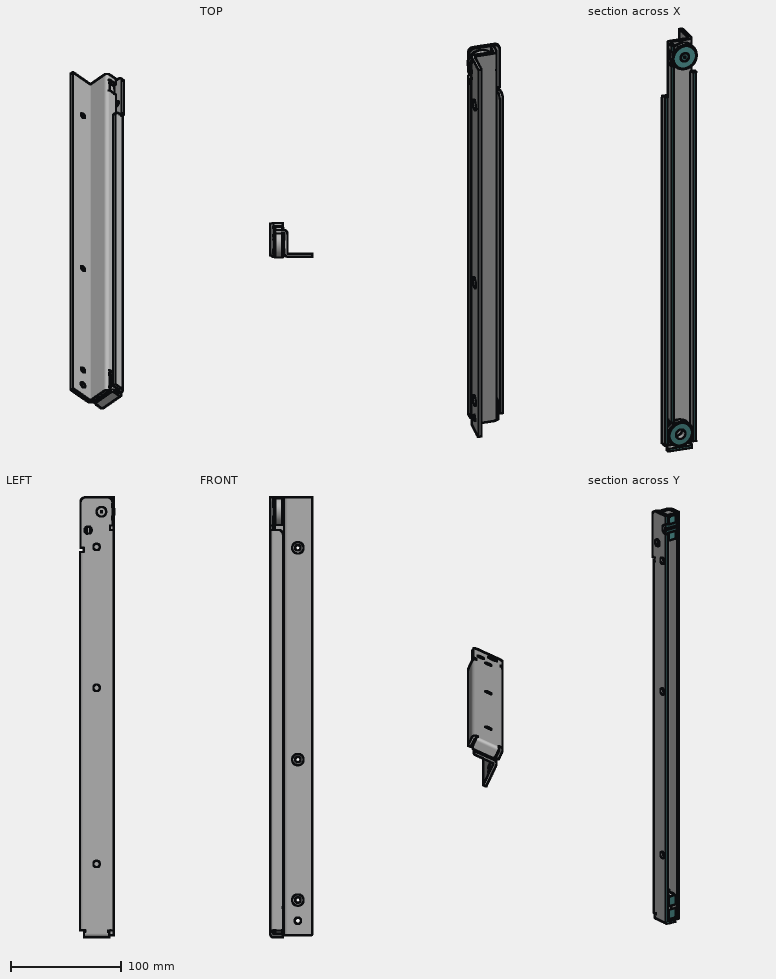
import cadquery as cq
import math

LENGTH = 400.0
FRONT_Y = 1.0
SHEET = 3.0
INNER_BEND = 0.5
OUTER_BEND = INNER_BEND + SHEET
OVERCUT = 4.0

COVER_WIDTH = 11.5
COVER_BACK_Y = 31.5
FRONT_FLANGE_TOP = 370.5
BACK_FLANGE_TOP = 350.5
FLANGE_BOTTOM = 6.5
FLANGE_CORNER = 4.5
HEAD_FRONT_Y = 2.0
HEAD_BACK_Y = 31.0
HEAD_FRONT_BOTTOM = 374.5
HEAD_BACK_BOTTOM = 354.0
HEAD_CORNER = 5.0
WEB_FRONT_Y = FRONT_Y + OUTER_BEND
WEB_BACK_Y = COVER_BACK_Y - OUTER_BEND
FLAP_FRONT_Y = 5.0
FLAP_BACK_Y = 28.0
FLAP_CORNER = 3.0
RELIEF_HEIGHT = 1.0
RELIEF_DEPTH = 1.0
MOUNT_HOLE_DIAMETER = 6.0
MOUNT_HOLE_Y = 16.5
MOUNT_HOLE_HEIGHTS = (355.0, 227.0, 67.0)
LOCK_HOLE_DIAMETER = 6.5
LOCK_HOLE_Y = 24.0
LOCK_HOLE_Z = 370.0

ANGLE_LEFT_X = 13.0
ANGLE_RIGHT_X = 38.5
ANGLE_BOTTOM = 2.0
ANGLE_CORNER = 1.5
RETURN_LEFT_X = 4.0
RETURN_BACK_Y = 25.0
RETURN_FRONT_Y = RETURN_BACK_Y - SHEET
SCREW_X = 25.0
SCREW_HEIGHTS = (354.0, 161.5, 34.0)
SCREW_DIAMETER = 5.0
SINK_DIAMETER = 10.5
PILOT_DIAMETER = 5.5
PILOT_Z = 15.0

PULLEY_RADIUS = 12.0
PULLEY_LEFT_X = 3.5
PULLEY_WIDTH = 8.5
PULLEY_CHAMFER = 1.0
UPPER_PULLEY = (PULLEY_RADIUS, 387.0)
PULLEY_GAP = 0.5
LOWER_PULLEY = (16.0, SHEET + PULLEY_GAP + PULLEY_RADIUS)
AXLE_DIAMETER = 9.0
AXLE_CENTRE_HOLE = 1.0


def block(x_range, y_range, z_range):
    """Box between the given limits."""
    size = [high - low for low, high in (x_range, y_range, z_range)]
    corner = (x_range[0], y_range[0], z_range[0])
    return cq.Workplane("XY").box(*size, centered=False).translate(corner)


def rod_x(y, z, diameter, x_start, x_end):
    """Cylinder along X."""
    plane = cq.Workplane("YZ", origin=(x_start, y, z))
    return plane.circle(diameter / 2).extrude(x_end - x_start)


def rod_y(x, z, diameter):
    """Cylinder along Y through the front leg of the angle."""
    plane = cq.Workplane("XZ", origin=(x, FRONT_Y - OVERCUT, z))
    return plane.circle(diameter / 2).extrude(-(SHEET + 2 * OVERCUT))


def cover_channel():
    """Web with a front and a back flange; the back flange ends lower."""
    inside_x = (SHEET, COVER_WIDTH + OVERCUT)
    z_range = (FLANGE_BOTTOM, FRONT_FLANGE_TOP)
    outside = block((0, COVER_WIDTH), (FRONT_Y, COVER_BACK_Y), z_range)
    outside = outside.edges("|Z and <X").fillet(OUTER_BEND)
    inside = block(inside_x, (FRONT_Y + SHEET, COVER_BACK_Y - SHEET), z_range)
    inside = inside.edges("|Z and <X").fillet(INNER_BEND)
    above_back_flange = block(
        (-OVERCUT, COVER_WIDTH + OVERCUT),
        (WEB_BACK_Y, COVER_BACK_Y + OVERCUT),
        (BACK_FLANGE_TOP, LENGTH),
    )
    channel = outside.cut(inside).cut(above_back_flange)
    return channel.edges("|Y and >X and (not <Z)").fillet(FLANGE_CORNER)


def cover_head():
    """Wider top of the web, rounded at its upper corners, and the neck below it."""
    head = block((0, SHEET), (HEAD_FRONT_Y, HEAD_BACK_Y), (HEAD_FRONT_BOTTOM, LENGTH))
    head = head.edges("|X and >Z").fillet(HEAD_CORNER)
    back_part = block((0, SHEET), (WEB_FRONT_Y, HEAD_BACK_Y), (HEAD_BACK_BOTTOM, HEAD_FRONT_BOTTOM))
    neck = block((0, SHEET), (WEB_FRONT_Y, WEB_BACK_Y), (BACK_FLANGE_TOP, HEAD_BACK_BOTTOM))
    return head.union(back_part).union(neck)


def cover_flap():
    """Flap folded in at the bottom of the web."""
    y_range = (FLAP_FRONT_Y, FLAP_BACK_Y)
    top = FLANGE_BOTTOM + RELIEF_HEIGHT
    outside = block((0, COVER_WIDTH), y_range, (0, top))
    outside = outside.edges("|Y and <X and <Z").fillet(OUTER_BEND)
    outside = outside.edges("|Z and >X").fillet(FLAP_CORNER)
    inside = block((SHEET, COVER_WIDTH + OVERCUT), y_range, (SHEET, top + OVERCUT))
    inside = inside.edges("|Y and <X and <Z").fillet(INNER_BEND)
    return outside.cut(inside)


def bend_reliefs():
    """Slots in the web edges between the flap and the two flanges."""
    x_range = (-OVERCUT, COVER_WIDTH + OVERCUT)
    z_range = (FLANGE_BOTTOM - RELIEF_HEIGHT, FLANGE_BOTTOM)
    front = block(x_range, (FRONT_Y, FLAP_FRONT_Y + RELIEF_DEPTH), z_range)
    back = block(x_range, (FLAP_BACK_Y - RELIEF_DEPTH, COVER_BACK_Y), z_range)
    return front.union(back)


def make_cover():
    cover = cover_channel().union(cover_head()).union(cover_flap()).cut(bend_reliefs())
    for z in MOUNT_HOLE_HEIGHTS:
        cover = cover.cut(rod_x(MOUNT_HOLE_Y, z, MOUNT_HOLE_DIAMETER, -OVERCUT, SHEET + OVERCUT))
    cover = cover.cut(rod_x(LOCK_HOLE_Y, LOCK_HOLE_Z, LOCK_HOLE_DIAMETER, -OVERCUT, SHEET + OVERCUT))
    return cover.cut(rod_x(*UPPER_PULLEY, AXLE_DIAMETER, -OVERCUT, SHEET + OVERCUT))


def angle_profile():
    """Z-shaped sheet: return flange at the back, web along Y, wide leg at the front."""
    web_right_x = ANGLE_LEFT_X + SHEET
    leg_back_y = FRONT_Y + SHEET
    outline = [
        (RETURN_LEFT_X, RETURN_FRONT_Y),
        (ANGLE_LEFT_X, RETURN_FRONT_Y),
        (ANGLE_LEFT_X, FRONT_Y),
        (ANGLE_RIGHT_X, FRONT_Y),
        (ANGLE_RIGHT_X, leg_back_y),
        (web_right_x, leg_back_y),
        (web_right_x, RETURN_BACK_Y),
        (RETURN_LEFT_X, RETURN_BACK_Y),
    ]
    profile = cq.Workplane("XY", origin=(0, 0, ANGLE_BOTTOM)).polyline(outline).close()
    solid = profile.extrude(LENGTH - ANGLE_BOTTOM)
    bends = (
        (ANGLE_LEFT_X, FRONT_Y, OUTER_BEND),
        (web_right_x, leg_back_y, INNER_BEND),
        (ANGLE_LEFT_X, RETURN_FRONT_Y, INNER_BEND),
        (web_right_x, RETURN_BACK_Y, OUTER_BEND),
    )
    for x, y, radius in bends:
        corner = cq.selectors.NearestToPointSelector((x, y, (ANGLE_BOTTOM + LENGTH) / 2))
        solid = solid.edges(corner).fillet(radius)
    return solid


def pulley_notch(bottom, top):
    """Cutter that clears the return flange around a pulley."""
    x_range = (RETURN_LEFT_X - OVERCUT, ANGLE_LEFT_X)
    return block(x_range, (RETURN_FRONT_Y, RETURN_BACK_Y + OVERCUT), (bottom, top))


def countersunk_hole(z):
    """Screw hole with a cone that narrows over the full thickness of the leg."""
    front = cq.Workplane("XZ", origin=(SCREW_X, FRONT_Y, z)).circle(SINK_DIAMETER / 2)
    return front.workplane(offset=-SHEET).circle(SCREW_DIAMETER / 2).loft()


def make_angle():
    angle = angle_profile()
    angle = angle.edges("|Y and >X and <Z").fillet(ANGLE_CORNER)
    upper_y, upper_z = UPPER_PULLEY
    reach = math.sqrt(PULLEY_RADIUS**2 - (RETURN_FRONT_Y - upper_y) ** 2) + PULLEY_GAP
    angle = angle.cut(pulley_notch(upper_z - reach, upper_z + reach))
    lower_z = LOWER_PULLEY[1]
    angle = angle.cut(pulley_notch(ANGLE_BOTTOM, lower_z + PULLEY_RADIUS + PULLEY_GAP))
    for z in SCREW_HEIGHTS:
        angle = angle.cut(countersunk_hole(z))
    return angle.cut(rod_y(SCREW_X, PILOT_Z, PILOT_DIAMETER))


def make_pulley(y, z):
    """Wheel with chamfered rims and a bore for the axle."""
    right_x = PULLEY_LEFT_X + PULLEY_WIDTH
    wheel = rod_x(y, z, 2 * PULLEY_RADIUS, PULLEY_LEFT_X, right_x)
    wheel = wheel.faces("<X or >X").edges().chamfer(PULLEY_CHAMFER)
    return wheel.cut(rod_x(y, z, AXLE_DIAMETER, PULLEY_LEFT_X, right_x))


def make_axle(y, z):
    """Axle from the outer face of the cover web to the web of the angle."""
    axle = rod_x(y, z, AXLE_DIAMETER, 0, ANGLE_LEFT_X)
    return axle.cut(rod_x(y, z, AXLE_CENTRE_HOLE, 0, ANGLE_LEFT_X))


cover = make_cover()
angle = make_angle()
axle = make_axle(*UPPER_PULLEY)
pulleys = [make_pulley(y, z) for y, z in (UPPER_PULLEY, LOWER_PULLEY)]

result = cq.Compound.makeCompound(
    [cover.val(), angle.val(), axle.val(), *[pulley.val() for pulley in pulleys]]
)